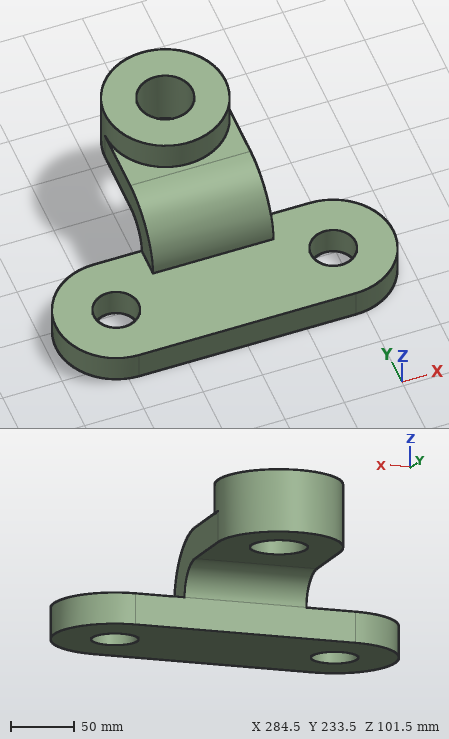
import cadquery as cq

plate_length = 284.5
plate_width = 101.5
total_height = 101.5
eye_offset = 132.0
plate_hole_diameter = 37.5
eye_hole_diameter = 45.8

thickness = total_height / 4
hole_spacing = plate_length - plate_width
inner_bend_radius = thickness
outer_bend_radius = inner_bend_radius + thickness
plate_rear = plate_width / 2
bend_center_y = plate_rear + inner_bend_radius
arm_bottom = thickness + inner_bend_radius
arm_top = arm_bottom + thickness


def make_plate():
    """Round-ended base plate with a hole at the centre of each end."""
    return (
        cq.Workplane("XY")
        .slot2D(plate_length, plate_width)
        .extrude(thickness)
        .faces(">Z").workplane()
        .pushPoints([(-hole_spacing / 2, 0), (hole_spacing / 2, 0)])
        .hole(plate_hole_diameter)
    )


def make_arm():
    """Strip rising from the plate through a quarter bend to the eye axis."""
    diagonal = 0.5 ** 0.5
    inner_mid = (bend_center_y - inner_bend_radius * diagonal, thickness + inner_bend_radius * diagonal)
    outer_mid = (bend_center_y - outer_bend_radius * diagonal, thickness + outer_bend_radius * diagonal)
    return (
        cq.Workplane("YZ")
        .moveTo(bend_center_y - outer_bend_radius, thickness)
        .threePointArc(outer_mid, (bend_center_y, arm_top))
        .lineTo(eye_offset, arm_top)
        .lineTo(eye_offset, arm_bottom)
        .lineTo(bend_center_y, arm_bottom)
        .threePointArc(inner_mid, (plate_rear, thickness))
        .close()
        .extrude(plate_width / 2, both=True)
    )


def make_eye_cylinder(diameter):
    """Cylinder on the eye axis, from the arm underside to the top."""
    return (
        cq.Workplane("XY", origin=(0, eye_offset, arm_bottom))
        .circle(diameter / 2)
        .extrude(total_height - arm_bottom)
    )


eye = make_eye_cylinder(plate_width)
eye_bore = make_eye_cylinder(eye_hole_diameter)
result = make_plate().union(make_arm()).union(eye).cut(eye_bore)